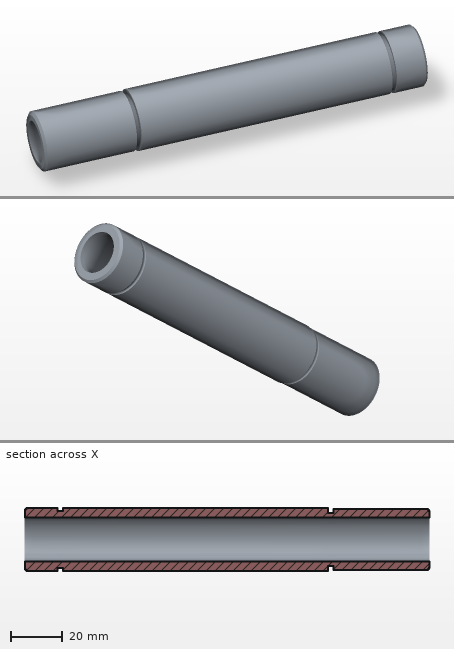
import cadquery as cq

length = 159.0
body_diameter = 25.0
spigot_diameter = 24.3
bore_diameter = 17.0

spigot_length = 38.0
collar_length = 13.0
groove_width = 1.9
spigot_groove_diameter = 21.1
collar_groove_diameter = 22.5

spigot_chamfer_length = 1.0
spigot_chamfer_depth = 1.3
collar_chamfer = 1.0

front_y = -length / 2
back_y = length / 2
body_start_y = front_y + spigot_length + groove_width
body_end_y = back_y - collar_length - groove_width


def cylinder_along_y(diameter, start_y, end_y):
    """Solid cylinder on the Y axis between two places."""
    start_plane = cq.Plane(origin=(0, start_y, 0), xDir=(1, 0, 0), normal=(0, 1, 0))
    return cq.Workplane(start_plane).circle(diameter / 2).extrude(end_y - start_y)


def make_spigot():
    """Slimmer front end with a chamfer that is deeper than it is long."""
    radius = spigot_diameter / 2
    return (
        cq.Workplane("XY")
        .moveTo(0, front_y)
        .lineTo(radius - spigot_chamfer_depth, front_y)
        .lineTo(radius, front_y + spigot_chamfer_length)
        .lineTo(radius, front_y + spigot_length)
        .lineTo(0, front_y + spigot_length)
        .close()
        .revolve(360, (0, 0, 0), (0, 1, 0))
    )


def make_collar():
    """Back end at the full body diameter, chamfered at its outer rim."""
    collar = cylinder_along_y(body_diameter, back_y - collar_length, back_y)
    return collar.faces(">Y").edges().chamfer(collar_chamfer)


spigot_groove = cylinder_along_y(spigot_groove_diameter, body_start_y - groove_width, body_start_y)
body = cylinder_along_y(body_diameter, body_start_y, body_end_y)
collar_groove = cylinder_along_y(collar_groove_diameter, body_end_y, body_end_y + groove_width)

bore = cylinder_along_y(bore_diameter, front_y, back_y)

result = make_spigot().union(spigot_groove).union(body).union(collar_groove).union(make_collar()).cut(bore)